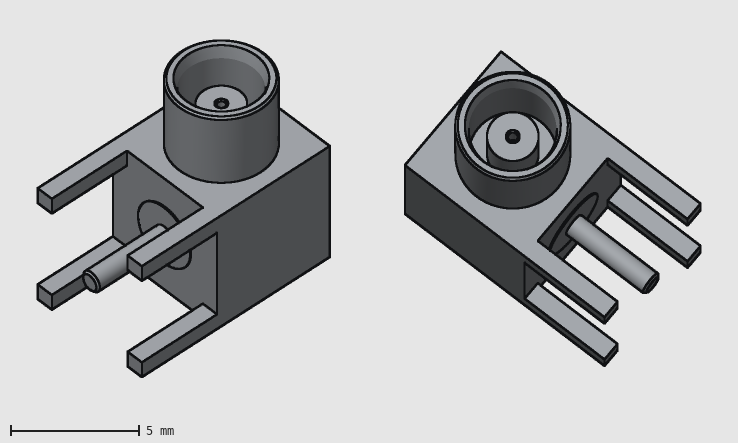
import cadquery as cq

block_side = 6.0
leg_width = 0.82
leg_height = 0.8
leg_length = 4.0

barrel_diameter = 4.5
barrel_height = 3.5
barrel_chamfer = 0.1
mouth_diameter = 3.75
bore_diameter = 3.44
mouth_depth = 0.57
bore_depth = barrel_height

post_diameter = 2.02
post_recess = 1.36
contact_mouth_diameter = 0.54
contact_diameter = 0.38
contact_mouth_depth = 0.06
contact_depth = 1.0

disc_diameter = 3.0
disc_thickness = 0.05
pin_diameter = 0.96
pin_length = leg_length
pin_chamfer = 0.1

barrel_y = block_side / 2
pin_z = block_side / 2
barrel_top = block_side + barrel_height
post_top = barrel_top - post_recess


def level(z):
    """Horizontal workplane at height z, centred on the barrel axis."""
    return cq.Workplane("XY", origin=(0, barrel_y, z))


def make_block():
    return cq.Workplane("XY").box(block_side, block_side, block_side, centered=(True, False, False))


def make_legs():
    """Four rectangular legs in the corners of the leg-side face."""
    leg_x = (block_side - leg_width) / 2
    lower_leg_z = leg_height / 2
    upper_leg_z = block_side - leg_height / 2
    centres = [(x, z) for x in (-leg_x, leg_x) for z in (lower_leg_z, upper_leg_z)]
    return cq.Workplane("XZ").pushPoints(centres).rect(leg_width, leg_height).extrude(leg_length)


def make_barrel():
    barrel = level(block_side).circle(barrel_diameter / 2).extrude(barrel_height)
    return barrel.faces(">Z").chamfer(barrel_chamfer)


def tapered_hole(top, mouth, bore, taper_depth, total_depth):
    """Cutter for a round hole whose mouth narrows to a straight bore."""
    profile = [
        (0, 0),
        (mouth / 2, 0),
        (bore / 2, -taper_depth),
        (bore / 2, -total_depth),
        (0, -total_depth),
    ]
    cutter = cq.Workplane("XZ").polyline(profile).close().revolve(axisStart=(0, 0), axisEnd=(0, 1))
    return cutter.translate((0, barrel_y, top))


def make_post():
    post_bottom = barrel_top - bore_depth
    post = level(post_bottom).circle(post_diameter / 2).extrude(post_top - post_bottom)
    return post.cut(
        tapered_hole(post_top, contact_mouth_diameter, contact_diameter, contact_mouth_depth, contact_depth)
    )


def make_pin():
    """Centre pin with its thin insulator disc, pointing along -Y."""
    face = cq.Workplane("XZ", origin=(0, 0, pin_z))
    disc = face.circle(disc_diameter / 2).extrude(disc_thickness)
    pin = face.circle(pin_diameter / 2).extrude(pin_length).faces("<Y").chamfer(pin_chamfer)
    return disc.union(pin)


socket = tapered_hole(barrel_top, mouth_diameter, bore_diameter, mouth_depth, bore_depth)
shell = make_block().union(make_legs()).union(make_barrel()).cut(socket)
result = shell.union(make_post()).union(make_pin())